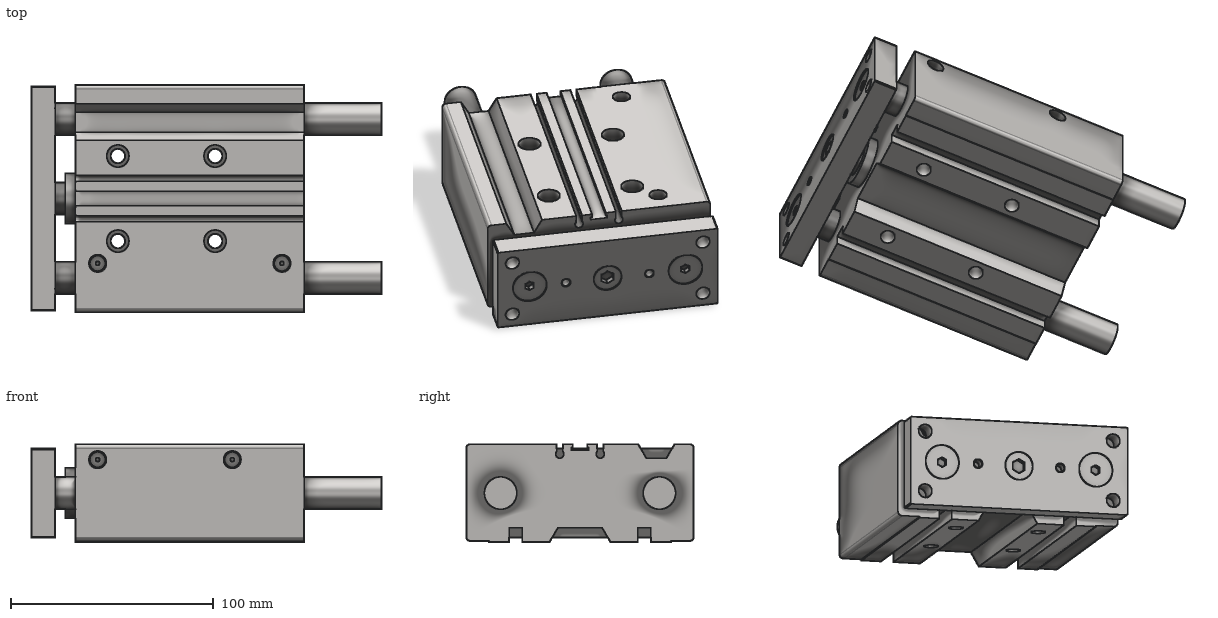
import cadquery as cq
import math


plate_thickness = 11.75
plate_width = 111.0
plate_height = 44.0
plate_edge_chamfer = 0.5
corner_hole_diameter = 6.8
corner_hole_y = 48.0
corner_hole_z = 15.0
dowel_hole_diameter = 4.0
dowel_hole_y = 21.0
dowel_hole_depth = 6.0
dowel_chamfer = 0.3

overall_length = 173.0
rod_diameter = 16.0
guide_rod_y = 39.2
head_recess_depth = 0.7
guide_head_diameter = 17.0
guide_socket_width = 4.3
piston_head_diameter = 14.0
piston_socket_width = 6.2
socket_depth = 4.0

housing_start = 21.75
housing_length = 113.0
housing_width = 112.3
housing_height = 48.4
corner_radius = 2.0
collar_diameter = 25.0
collar_length = 5.0
piston_bore_depth = 100.0

wall_slope = math.radians(60)
top_groove_y = 37.7
top_groove_width = 18.0
top_groove_depth = 7.0
bottom_groove_width = 30.0
bottom_groove_depth = 7.0
sensor_slot_y = 10.0
sensor_slot_width = 3.0
sensor_slot_diameter = 4.0
sensor_slot_axis_depth = 5.0
center_slot_width = 7.0
center_slot_depth = 3.0
center_slot_lip = 1.8
center_undercut_width = 8.4
mounting_slot_y = 31.8
mounting_slot_width = 6.4
mounting_slot_depth = 7.0
side_relief_y = 45.0
side_relief_depth = 0.5

mounting_hole_diameter = 7.0
mounting_bore_diameter = 11.0
mounting_bore_depth = 7.0
mounting_hole_offsets = (21.0, 69.0)
mounting_hole_y = 21.0
port_mouth_diameter = 8.6
port_floor_diameter = 7.6
port_depth = 8.0
port_passage_diameter = 2.0
port_passage_depth = 3.0
top_port_offsets = (11.0, 102.0)
top_port_y = -32.0
side_port_offsets = (11.0, 77.5)
side_port_z = 16.5

piston_rod_end = housing_start + piston_bore_depth
half_width = housing_width / 2
half_height = housing_height / 2


def rod(y, diameter, start, end):
    """Cylinder along X between two X positions, on the mid-height plane."""
    return cq.Workplane("YZ", origin=(start, y, 0)).circle(diameter / 2).extrude(end - start)


def lengthwise_box(y, width, bottom, top):
    """Box as long as the housing, between two heights."""
    box = cq.Workplane("XY").box(housing_length, width, top - bottom, centered=(False, True, False))
    return box.translate((housing_start, y, bottom))


def sloped_groove(y, width, depth, side):
    """Groove with sloped walls, widest at the top face (side = 1) or bottom face (side = -1)."""
    mouth = width / 2
    floor = mouth - depth / math.tan(wall_slope)
    face_z = side * half_height
    floor_z = face_z - side * depth
    outline = [(y - mouth, face_z), (y + mouth, face_z), (y + floor, floor_z), (y - floor, floor_z)]
    return cq.Workplane("YZ", origin=(housing_start, 0, 0)).polyline(outline).close().extrude(housing_length)


def sensor_slot(y):
    """Keyhole slot: a narrow mouth opening into a round channel."""
    axis_z = half_height - sensor_slot_axis_depth
    mouth = lengthwise_box(y, sensor_slot_width, axis_z, half_height)
    channel = cq.Workplane("YZ", origin=(housing_start, y, axis_z))
    channel = channel.circle(sensor_slot_diameter / 2).extrude(housing_length)
    return mouth.union(channel)


def port(origin, direction):
    """Tapered air port with a small passage in its floor, going in along direction."""
    start = cq.Vector(*origin)
    inward = cq.Vector(*direction)
    taper = cq.Solid.makeCone(port_mouth_diameter / 2, port_floor_diameter / 2, port_depth, start, inward)
    passage_length = port_depth + port_passage_depth
    passage = cq.Solid.makeCylinder(port_passage_diameter / 2, passage_length, start, inward)
    return taper.fuse(passage)


def housing_block():
    """Rounded block with a shallow relief along both outer strips of its underside."""
    block = lengthwise_box(0, housing_width, -half_height, half_height)
    relief_width = half_width - side_relief_y
    relief_top = -half_height + side_relief_depth
    for side in (-1, 1):
        relief_y = side * (half_width - relief_width / 2)
        block = block.cut(lengthwise_box(relief_y, relief_width, -half_height, relief_top))
    for face in ("<Y", ">Y"):
        block = block.faces(face).edges("|X").fillet(corner_radius)
    return block


def cut_grooves(body):
    body = body.cut(sloped_groove(top_groove_y, top_groove_width, top_groove_depth, 1))
    body = body.cut(sloped_groove(0, bottom_groove_width, bottom_groove_depth, -1))

    center_floor = half_height - center_slot_depth
    lip_bottom = half_height - center_slot_lip
    body = body.cut(lengthwise_box(0, center_slot_width, center_floor, half_height))
    body = body.cut(lengthwise_box(0, center_undercut_width, center_floor, lip_bottom))

    mounting_slot_top = -half_height + mounting_slot_depth
    for side in (-1, 1):
        body = body.cut(sensor_slot(side * sensor_slot_y))
        slot_y = side * mounting_slot_y
        body = body.cut(lengthwise_box(slot_y, mounting_slot_width, -half_height, mounting_slot_top))
    return body


def cut_mounting_holes(body):
    top_face = cq.Workplane("XY", origin=(housing_start, 0, half_height))
    points = [(x, side * mounting_hole_y) for x in mounting_hole_offsets for side in (-1, 1)]
    holes = top_face.pushPoints(points).circle(mounting_hole_diameter / 2).extrude(-housing_height)
    bores = top_face.pushPoints(points).circle(mounting_bore_diameter / 2).extrude(-mounting_bore_depth)
    return body.cut(holes).cut(bores)


def cut_ports(body):
    for offset in top_port_offsets:
        body = body.cut(port((housing_start + offset, top_port_y, half_height), (0, 0, -1)))
    for offset in side_port_offsets:
        body = body.cut(port((housing_start + offset, -half_width, side_port_z), (0, 1, 0)))
    return body


def make_housing():
    body = cut_ports(cut_mounting_holes(cut_grooves(housing_block())))
    collar_start = housing_start - collar_length
    body = body.union(rod(0, collar_diameter, collar_start, housing_start))
    body = body.cut(rod(0, rod_diameter, collar_start, piston_rod_end))
    for side in (-1, 1):
        body = body.cut(rod(side * guide_rod_y, rod_diameter, housing_start, overall_length))
    return body


def hex_socket(y, width_across_flats):
    """Hexagonal recess in the plate face, with two of its flats upright."""
    corner_diameter = width_across_flats / math.cos(math.radians(30))
    socket = cq.Workplane("YZ").polygon(6, corner_diameter).extrude(socket_depth)
    return socket.rotate((0, 0, 0), (1, 0, 0), 90).translate((0, y, 0))


def dowel_hole(y):
    """Blind hole in the plate face with a small chamfer at its mouth."""
    hole = rod(y, dowel_hole_diameter, 0, dowel_hole_depth)
    hole_radius = dowel_hole_diameter / 2
    mouth_radius = hole_radius + dowel_chamfer
    mouth = cq.Solid.makeCone(mouth_radius, hole_radius, dowel_chamfer, cq.Vector(0, y, 0), cq.Vector(1, 0, 0))
    return hole.union(cq.Workplane(mouth))


def drilled_plate():
    plate = cq.Workplane("XY").box(plate_thickness, plate_width, plate_height, centered=(False, True, True))
    plate = plate.edges("|X").chamfer(plate_edge_chamfer)
    corners = [(a * corner_hole_y, b * corner_hole_z) for a in (-1, 1) for b in (-1, 1)]
    corner_holes = cq.Workplane("YZ").pushPoints(corners).circle(corner_hole_diameter / 2)
    plate = plate.cut(corner_holes.extrude(plate_thickness))
    for side in (-1, 1):
        plate = plate.cut(dowel_hole(side * dowel_hole_y))
    return plate


def make_moving_plate():
    plate = drilled_plate()
    plate = plate.cut(rod(0, piston_head_diameter, 0, head_recess_depth))
    plate = plate.cut(hex_socket(0, piston_socket_width))
    for side in (-1, 1):
        y = side * guide_rod_y
        plate = plate.cut(rod(y, guide_head_diameter, 0, head_recess_depth))
        plate = plate.cut(hex_socket(y, guide_socket_width))
        plate = plate.union(rod(y, rod_diameter, plate_thickness, overall_length))
    return plate.union(rod(0, rod_diameter, plate_thickness, piston_rod_end))


housing = make_housing()
moving_plate = make_moving_plate()
result = cq.Compound.makeCompound([housing.val(), moving_plate.val()])